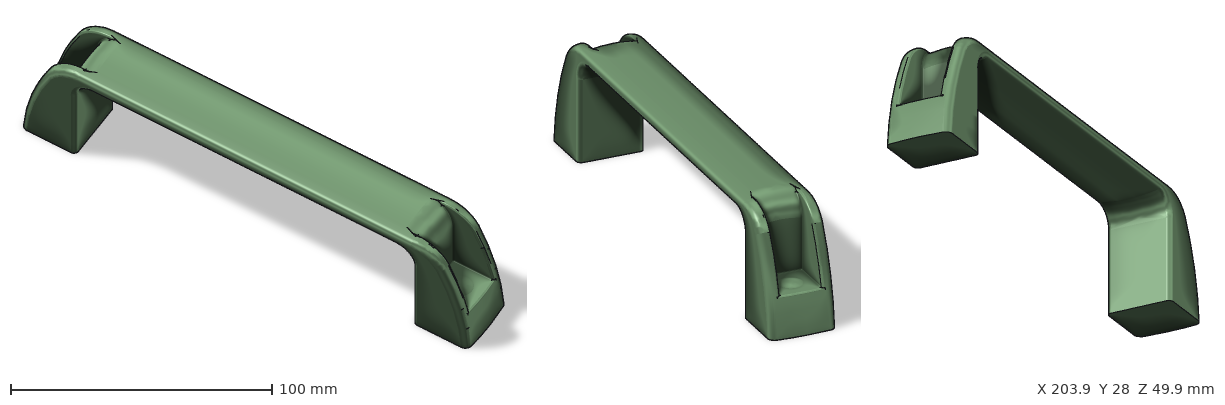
import cadquery as cq
import math

length = 203.86
width = 28.0
height = 49.93
half_length = length / 2
half_width = width / 2

corner_radius = 17.0
corner_inset = 26.5
leg_arc_radius = 103.0

bar_crown_radius = 51.0
leg_crown_radius = 120.0
edge_radius = 3.0

leg_depth = 25.5
bar_thickness = 7.5
inner_corner_radius = 7.5
inner_round = 2.1

hole_pitch = 179.0
pocket_half_width = 8.9
pocket_floor = 17.0
pocket_back = 21.6
pocket_back_radius = 10.0
pocket_corner_round = 0.6
pocket_edge_round = 1.0

dome_diameter = 10.0
dome_height = 0.75

margin = 5.0

corner_x = half_length - corner_inset
corner_z = height - corner_radius
bar_underside = height - bar_thickness
inner_x = half_length - leg_depth
inner_arc_x = inner_x - inner_corner_radius
inner_arc_z = bar_underside - inner_corner_radius
inner_arc_middle = (
    inner_arc_x + inner_corner_radius * math.sqrt(0.5),
    inner_arc_z + inner_corner_radius * math.sqrt(0.5),
)
pocket_end_x = half_length - pocket_back - pocket_back_radius


def tangent_tilt(round_y, face_radius, round_radius):
    """Angle from the face middle to the point where a round centred at round_y touches the face."""
    return math.asin(round_y / (face_radius - round_radius))


def round_centre_drop(round_y, face_radius, round_radius):
    """Depth of that round's centre below the middle of the face."""
    tilt = tangent_tilt(round_y, face_radius, round_radius)
    return face_radius - (face_radius - round_radius) * math.cos(tilt)


underside_drop = bar_thickness - round_centre_drop(half_width - edge_radius, bar_crown_radius, edge_radius)
inner_round_y = half_width - inner_round
underside_radius = (underside_drop**2 - inner_round**2 + inner_round_y**2) / (
    2 * (underside_drop - inner_round)
)

rim_round_y = pocket_half_width + pocket_edge_round
bar_rim_y = bar_crown_radius * math.sin(tangent_tilt(rim_round_y, bar_crown_radius, pocket_edge_round))


def leg_arc_centre():
    """Centre (x, z) of the right leg arc: it meets the foot corner and touches the corner arc."""
    dx = half_length - corner_x
    dz = -corner_z
    span = math.hypot(dx, dz)
    to_corner = leg_arc_radius - corner_radius
    along = (to_corner**2 - leg_arc_radius**2 + span**2) / (2 * span)
    across = math.sqrt(to_corner**2 - along**2)
    return (
        corner_x + (along * dx + across * dz) / span,
        corner_z + (along * dz - across * dx) / span,
    )


leg_centre_x, leg_centre_z = leg_arc_centre()
foot_angle = math.asin(-leg_centre_z / leg_arc_radius)
blend_angle = math.atan2(corner_z - leg_centre_z, corner_x - leg_centre_x)


def on_leg_arc(angle):
    """Point (x, z) on the right leg arc, with the angle measured up from +X."""
    return (
        leg_centre_x + leg_arc_radius * math.cos(angle),
        leg_centre_z + leg_arc_radius * math.sin(angle),
    )


def on_corner_arc(angle):
    """Point (x, z) on the right corner arc, with the angle measured up from +X."""
    return (
        corner_x + corner_radius * math.cos(angle),
        corner_z + corner_radius * math.sin(angle),
    )


def mirrored(point):
    """The same point on the left half."""
    return (-point[0], point[1])


def make_blank():
    """Bow-shaped bar with square edges."""
    foot = on_leg_arc(foot_angle)
    leg_middle = on_leg_arc((foot_angle + blend_angle) / 2)
    blend = on_corner_arc(blend_angle)
    corner_middle = on_corner_arc((blend_angle + math.pi / 2) / 2)
    bar_end = on_corner_arc(math.pi / 2)
    outline = (
        cq.Workplane("XZ")
        .moveTo(*mirrored(foot))
        .threePointArc(mirrored(leg_middle), mirrored(blend))
        .threePointArc(mirrored(corner_middle), mirrored(bar_end))
        .lineTo(*bar_end)
        .threePointArc(corner_middle, blend)
        .threePointArc(leg_middle, foot)
        .lineTo(inner_x, 0)
        .lineTo(inner_x, inner_arc_z)
        .threePointArc(inner_arc_middle, (inner_arc_x, bar_underside))
        .lineTo(-inner_arc_x, bar_underside)
        .threePointArc(mirrored(inner_arc_middle), (-inner_x, inner_arc_z))
        .lineTo(-inner_x, 0)
        .close()
    )
    return outline.extrude(half_width, both=True)


def section_plane(origin, outward):
    """Plane across a face: local x runs along Y and local y points outward from the face."""
    across = cq.Vector(0, 1, 0)
    return cq.Plane(origin=origin, xDir=across, normal=across.cross(cq.Vector(*outward)))


def face_cutter_section(plane, face_radius, round_radius):
    """Everything outside a face with rounded long edges; face_radius None leaves the face flat."""
    round_y = half_width - round_radius
    if face_radius is None:
        tilt = 0
        face_y = round_y
        face_drop = 0
        side_drop = round_radius
    else:
        tilt = tangent_tilt(round_y, face_radius, round_radius)
        face_y = face_radius * math.sin(tilt)
        face_drop = face_radius * (1 - math.cos(tilt))
        side_drop = round_centre_drop(round_y, face_radius, round_radius)
    middle = (tilt + math.pi / 2) / 2
    middle_y = round_y + round_radius * math.sin(middle)
    middle_drop = face_drop + round_radius * (math.cos(tilt) - math.cos(middle))
    outer_y = half_width + margin
    section = (
        cq.Workplane(plane)
        .moveTo(-half_width, -side_drop)
        .threePointArc((-middle_y, -middle_drop), (-face_y, -face_drop))
    )
    if face_radius is None:
        section = section.lineTo(face_y, -face_drop)
    else:
        section = section.threePointArc((0, 0), (face_y, -face_drop))
    return (
        section.threePointArc((middle_y, -middle_drop), (half_width, -side_drop))
        .lineTo(outer_y, -side_drop)
        .lineTo(outer_y, margin)
        .lineTo(-outer_y, margin)
        .lineTo(-outer_y, -side_drop)
        .close()
    )


def edge_section(plane, crown):
    """Everything outside the crowned outer face and its rounded long edges."""
    return face_cutter_section(plane, crown, edge_radius)


def rim_section(plane, crown):
    """Opening of the pocket at the crowned face, widened by the rim rounds."""
    tilt = tangent_tilt(rim_round_y, crown, pocket_edge_round)
    rim_y = crown * math.sin(tilt)
    rim_drop = crown * (1 - math.cos(tilt))
    round_drop = round_centre_drop(rim_round_y, crown, pocket_edge_round)
    middle = (math.pi / 2 - tilt) / 2
    middle_y = rim_round_y - pocket_edge_round * math.sin(middle)
    middle_drop = round_drop - pocket_edge_round * math.cos(middle)
    return (
        cq.Workplane(plane)
        .moveTo(-rim_y, -rim_drop)
        .threePointArc((-middle_y, -middle_drop), (-pocket_half_width, -round_drop))
        .lineTo(pocket_half_width, -round_drop)
        .threePointArc((middle_y, -middle_drop), (rim_y, -rim_drop))
        .lineTo(rim_y, margin)
        .lineTo(-rim_y, margin)
        .close()
    )


def blend_sweep(start_section, end_section, path):
    """Solid that changes from one section to the other along the path."""
    return start_section.add(end_section).toPending().sweep(path, multisection=True)


def sweep_outer_half(make_section):
    """Carries a section from the middle of the bar round the corner and past the right foot.

    The bar crown changes into the flatter leg crown around the corner.
    """
    up = (0, 0, 1)
    leg_outward = (math.cos(blend_angle), 0, math.sin(blend_angle))
    bar_end = on_corner_arc(math.pi / 2)
    blend = on_corner_arc(blend_angle)
    sweep_end_angle = foot_angle - margin / leg_arc_radius

    corner_middle = on_corner_arc((blend_angle + math.pi / 2) / 2)
    corner_path = cq.Workplane("XZ").moveTo(*bar_end).threePointArc(corner_middle, blend)
    leg_middle = on_leg_arc((blend_angle + sweep_end_angle) / 2)
    leg_path = cq.Workplane("XZ").moveTo(*blend).threePointArc(leg_middle, on_leg_arc(sweep_end_angle))

    centre_plane = section_plane((0, 0, height), up)
    bar_end_plane = section_plane((bar_end[0], 0, bar_end[1]), up)
    blend_plane = section_plane((blend[0], 0, blend[1]), leg_outward)
    bar = make_section(centre_plane, bar_crown_radius).extrude(corner_x)
    corner = blend_sweep(
        make_section(bar_end_plane, bar_crown_radius),
        make_section(blend_plane, leg_crown_radius),
        corner_path,
    )
    leg = make_section(blend_plane, leg_crown_radius).sweep(leg_path)
    return [bar, corner, leg]


def make_inner_cutters():
    """Cutters for the right half of the opening: flat on the leg, crowned under the bar."""
    toward_middle = (-1, 0, 0)
    down = (0, 0, -1)
    foot_plane = section_plane((inner_x, 0, 0), toward_middle)
    arc_start_plane = section_plane((inner_x, 0, inner_arc_z), toward_middle)
    arc_end_plane = section_plane((inner_arc_x, 0, bar_underside), down)
    path = (
        cq.Workplane("XZ")
        .moveTo(inner_x, inner_arc_z)
        .threePointArc(inner_arc_middle, (inner_arc_x, bar_underside))
    )
    leg = face_cutter_section(foot_plane, None, inner_round).extrude(inner_arc_z)
    bar = face_cutter_section(arc_end_plane, underside_radius, inner_round).extrude(inner_arc_x)
    corner = blend_sweep(
        face_cutter_section(arc_start_plane, None, inner_round),
        face_cutter_section(arc_end_plane, underside_radius, inner_round),
        path,
    )
    return [leg, corner, bar]


def make_rolled_bar_end():
    """Crowned block whose end rolls down into the upright back wall of the right pocket."""
    side_z = height - bar_crown_radius + math.sqrt(bar_crown_radius**2 - half_width**2)
    return (
        cq.Workplane("YZ", origin=(pocket_end_x - margin, 0, 0))
        .moveTo(-half_width, 0)
        .lineTo(half_width, 0)
        .lineTo(half_width, side_z)
        .threePointArc((0, height), (-half_width, side_z))
        .close()
        .extrude(pocket_back_radius + margin)
        .faces(">X")
        .edges(">Z")
        .fillet(pocket_back_radius)
    )


def make_pocket_cutter(rolled_end):
    """Right pocket: open to the front and top, with rounded floor and back corners."""
    pocket_length = half_length + margin - pocket_end_x
    block = (
        cq.Workplane("XY", origin=(pocket_end_x, 0, pocket_floor))
        .rect(pocket_length, 2 * pocket_half_width)
        .extrude(height)
        .translate((pocket_length / 2, 0, 0))
    )
    pocket = block.cut(rolled_end)
    floor_edges = pocket.faces("<Z").edges("not >X")
    back_edges = pocket.edges("|Z").edges("<<X[1]")
    return pocket.newObject(floor_edges.vals() + back_edges.vals()).fillet(pocket_corner_round)


def make_pocket_rim_cutters(rolled_end):
    """Cutters that round the side edges of the right pocket above its floor."""
    tip_y = pocket_half_width - pocket_corner_round
    reach = (
        cq.Workplane("XY", origin=(0, 0, pocket_floor))
        .moveTo(pocket_end_x, -tip_y)
        .lineTo(corner_x, -bar_rim_y)
        .lineTo(half_length, -bar_rim_y)
        .lineTo(half_length, bar_rim_y)
        .lineTo(corner_x, bar_rim_y)
        .lineTo(pocket_end_x, tip_y)
        .close()
        .extrude(height)
    )
    return [piece.intersect(reach).cut(rolled_end) for piece in sweep_outer_half(rim_section)]


def make_lip_cutter():
    """Rounds the front edge of the right pocket floor, turned about the upright axis of the leg crown."""
    floor_angle = math.asin((pocket_floor - leg_centre_z) / leg_arc_radius)
    lip_x = on_leg_arc(floor_angle)[0]
    setback = pocket_edge_round * math.tan((math.pi / 2 - floor_angle) / 2)
    front_x = lip_x + setback * math.sin(floor_angle)
    front_z = pocket_floor - setback * math.cos(floor_angle)
    middle = (floor_angle + math.pi / 2) / 2
    middle_x = lip_x - setback + pocket_edge_round * math.cos(middle)
    middle_z = pocket_floor - pocket_edge_round * (1 - math.sin(middle))
    profile = (
        cq.Workplane("XZ")
        .moveTo(lip_x - setback, pocket_floor)
        .threePointArc((middle_x, middle_z), (front_x, front_z))
        .lineTo(half_length + margin, front_z)
        .lineTo(half_length + margin, pocket_floor)
        .close()
    )
    axis_x = lip_x - leg_crown_radius
    ring = profile.revolve(360, (axis_x, 0), (axis_x, 1))
    slot = cq.Workplane("XY", origin=(half_length, 0, 0)).box(width, 2 * bar_rim_y, 2 * height)
    return ring.intersect(slot)


def make_dome():
    """Low screw-head dome on the right pocket floor."""
    dome_radius = dome_diameter / 2
    sphere_radius = (dome_radius**2 + dome_height**2) / (2 * dome_height)
    half_angle = math.asin(dome_radius / sphere_radius) / 2
    middle = (
        sphere_radius * math.sin(half_angle),
        dome_height - sphere_radius * (1 - math.cos(half_angle)),
    )
    return (
        cq.Workplane("XZ", origin=(hole_pitch / 2, 0, pocket_floor))
        .moveTo(0, -margin)
        .lineTo(dome_radius, -margin)
        .lineTo(dome_radius, 0)
        .threePointArc(middle, (0, dome_height))
        .close()
        .revolve()
    )


rolled_end = make_rolled_bar_end()
right_cutters = sweep_outer_half(edge_section) + make_inner_cutters()
right_cutters.append(make_pocket_cutter(rolled_end))
right_cutters += make_pocket_rim_cutters(rolled_end)
right_cutters.append(make_lip_cutter())
dome = make_dome()

result = make_blank()
for cutter in right_cutters:
    result = result.cut(cutter).cut(cutter.mirror("YZ"))
result = result.union(dome).union(dome.mirror("YZ"))